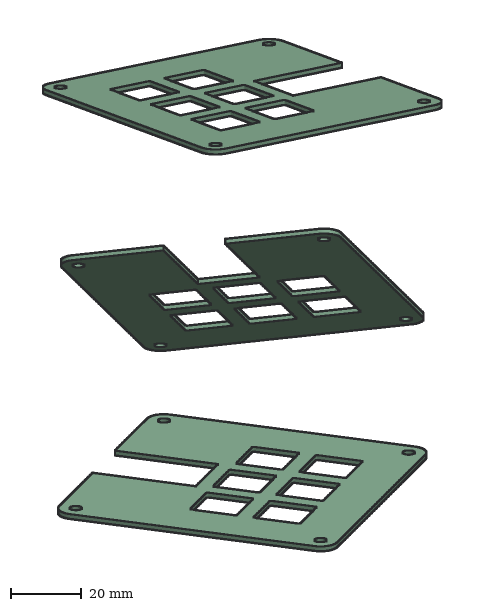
import cadquery as cq

width = 82.9
depth = 83.4
thickness = 1.5
corner_radius = 5.0

hole_diameter = 3.4

notch_width = 18.35
notch_depth = 30.9
notch_center_x = 0.4

key_columns = 3
key_rows = 2
key_size = 14.0
key_pitch = 19.0
key_corner_radius = 0.5
key_grid_center_x = -0.3
key_grid_center_y = -10.3


def make_plate():
    plate = cq.Workplane("XY").rect(width, depth).extrude(thickness)
    return plate.edges("|Z").fillet(corner_radius)


def make_screw_holes():
    return (
        cq.Workplane("XY")
        .rect(width - 2 * corner_radius, depth - 2 * corner_radius, forConstruction=True)
        .vertices()
        .circle(hole_diameter / 2)
        .extrude(thickness)
    )


def make_notch():
    notch_center_y = depth / 2 - notch_depth / 2
    return (
        cq.Workplane("XY")
        .center(notch_center_x, notch_center_y)
        .rect(notch_width, notch_depth)
        .extrude(thickness)
    )


def make_key_openings():
    openings = (
        cq.Workplane("XY")
        .center(key_grid_center_x, key_grid_center_y)
        .rarray(key_pitch, key_pitch, key_columns, key_rows)
        .rect(key_size, key_size)
        .extrude(thickness)
    )
    return openings.edges("|Z").fillet(key_corner_radius)


result = make_plate().cut(make_screw_holes()).cut(make_notch()).cut(make_key_openings())